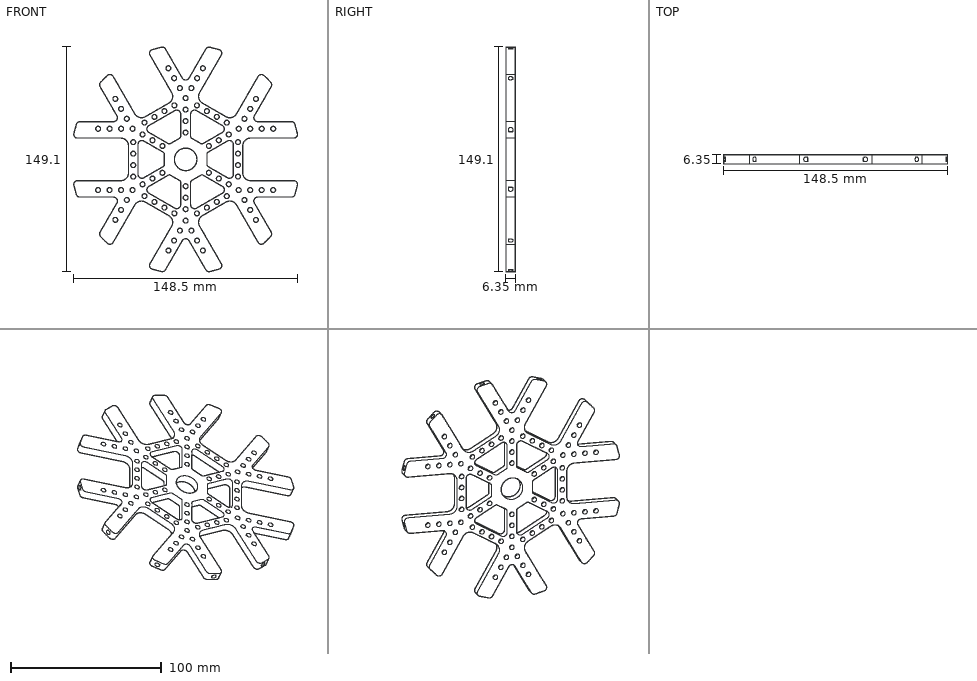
import cadquery as cq
import math

SECTORS = 6
SECTOR_ANGLE = 360 / SECTORS
HALF_SECTOR = SECTOR_ANGLE / 2
THICKNESS = 6.35

BORE_DIAMETER = 14.8
HUB_APOTHEM = 14.2
SPOKE_WIDTH = 6.75
RIM_INNER_APOTHEM = 31.55
RIM_OUTER_APOTHEM = 37.95
POCKET_CORNER_RADIUS = 2.54
HUB_CORNER_RADIUS = 1.27

ARM_LOWER_EDGE = 14.05
ARM_UPPER_EDGE = 25.08
ARM_ROOT_RADIUS = 5.08
FORK_RADIUS = 2.54
TIP_DISTANCE = 76.1
TIP_ANGLE = HALF_SECTOR / 2
TIP_CORNER_RADIUS = 2.54

HOLE_DIAMETER = 3.1
HOLE_PITCH = 7.62
NODE_RADIUS = 40.64
SPOKE_HOLES = 4
ARM_HOLES = 3
RIM_HOLES = 4
RIM_HOLE_APOTHEM = (RIM_INNER_APOTHEM + RIM_OUTER_APOTHEM) / 2
TIP_HOLE_DIAMETER = 3.1
TIP_HOLE_DEPTH = 10.0


def polar(radius, degrees):
    angle = math.radians(degrees)
    return radius * math.cos(angle), radius * math.sin(angle)


def rotated(point, degrees):
    """Turn a point about the centre of the plate."""
    x, z = point
    cos_a, sin_a = polar(1, degrees)
    return x * cos_a - z * sin_a, x * sin_a + z * cos_a


def mirrored(point, degrees):
    """Mirror a point across the line through the centre at the given angle."""
    x, z = rotated(point, -degrees)
    return rotated((x, -z), degrees)


def around(points):
    """Repeat points in every sector."""
    return [rotated(point, i * SECTOR_ANGLE) for i in range(SECTORS) for point in points]


def corner_arc(before, corner, after, radius):
    """Start, middle and end of the arc that rounds a corner between two straight edges."""
    to_before = math.atan2(before[1] - corner[1], before[0] - corner[0])
    to_after = math.atan2(after[1] - corner[1], after[0] - corner[0])
    turn = math.remainder(to_after - to_before, math.tau)
    half_angle = abs(turn) / 2
    bisector = to_before + turn / 2
    setback = radius / math.tan(half_angle)
    middle_distance = radius / math.sin(half_angle) - radius

    def step(direction, distance):
        x = corner[0] + distance * math.cos(direction)
        z = corner[1] + distance * math.sin(direction)
        return x, z

    return step(to_before, setback), step(bisector, middle_distance), step(to_after, setback)


def back_face():
    """Workplane on the +Y face, extruding towards -Y through the plate centred on Y = 0."""
    return cq.Workplane("XZ", origin=(0, THICKNESS / 2, 0))


def rounded_prism(corners):
    """Plate-thick prism on a polygon given as (point, corner radius)."""
    points = [point for point, _ in corners]
    arcs = []
    for i, (corner, radius) in enumerate(corners):
        following = points[(i + 1) % len(points)]
        arcs.append(corner_arc(points[i - 1], corner, following, radius))
    path = back_face().moveTo(*arcs[-1][-1])
    for start, middle, end in arcs:
        path = path.lineTo(*start).threePointArc(middle, end)
    return path.close().extrude(THICKNESS)


def plate_body():
    """Rim hexagon with a pair of arms at every corner, still without openings."""
    cos_tip, sin_tip = polar(1, TIP_ANGLE)

    def tip_corner(z):
        return (TIP_DISTANCE - z * sin_tip) / cos_tip, z

    arm = [
        ((RIM_OUTER_APOTHEM, ARM_LOWER_EDGE), ARM_ROOT_RADIUS),
        (tip_corner(ARM_LOWER_EDGE), TIP_CORNER_RADIUS),
        (tip_corner(ARM_UPPER_EDGE), TIP_CORNER_RADIUS),
    ]
    fork = (ARM_UPPER_EDGE / math.tan(math.radians(HALF_SECTOR)), ARM_UPPER_EDGE)
    twin_arm = [(mirrored(point, HALF_SECTOR), radius) for point, radius in reversed(arm)]
    sector = arm + [(fork, FORK_RADIUS)] + twin_arm
    outline = []
    for i in range(SECTORS):
        outline += [(rotated(point, i * SECTOR_ANGLE), radius) for point, radius in sector]
    return rounded_prism(outline)


def pocket():
    """Window between hub, rim and two spokes, centred on +X."""
    half_angle = math.radians(HALF_SECTOR)
    spoke_offset = SPOKE_WIDTH / 2 / math.cos(half_angle)

    def upper_corner(x):
        return x, x * math.tan(half_angle) - spoke_offset

    hub_corner = upper_corner(HUB_APOTHEM)
    rim_corner = upper_corner(RIM_INNER_APOTHEM)
    return rounded_prism([
        (mirrored(hub_corner, 0), HUB_CORNER_RADIUS),
        (mirrored(rim_corner, 0), POCKET_CORNER_RADIUS),
        (rim_corner, POCKET_CORNER_RADIUS),
        (hub_corner, HUB_CORNER_RADIUS),
    ])


def face_hole_points():
    """Through-hole centres along the spokes, rim and arms."""
    node = polar(NODE_RADIUS, HALF_SECTOR)
    spoke = [polar(NODE_RADIUS - i * HOLE_PITCH, HALF_SECTOR) for i in range(SPOKE_HOLES)]
    arm = [(node[0] + i * HOLE_PITCH, node[1]) for i in range(1, ARM_HOLES + 1)]
    twin_arm = [mirrored(point, HALF_SECTOR) for point in arm]
    rim = [(RIM_HOLE_APOTHEM, (i - (RIM_HOLES - 1) / 2) * HOLE_PITCH) for i in range(RIM_HOLES)]
    return around(spoke + arm + twin_arm + rim)


def through_holes(points, diameter):
    return back_face().pushPoints(points).circle(diameter / 2).extrude(THICKNESS)


def tip_hole():
    """Blind hole drilled square into an arm tip, lying along +X."""
    tip_face = cq.Workplane("YZ", origin=(TIP_DISTANCE, 0, 0))
    return tip_face.circle(TIP_HOLE_DIAMETER / 2).extrude(-TIP_HOLE_DEPTH)


def turned(body, degrees):
    """Turn a body about the plate axis from +X towards +Z."""
    return body.rotate((0, 0, 0), (0, -1, 0), degrees)


result = plate_body()
result = result.cut(through_holes([(0, 0)], BORE_DIAMETER))
result = result.cut(through_holes(face_hole_points(), HOLE_DIAMETER))
for sector_index in range(SECTORS):
    sector_start = sector_index * SECTOR_ANGLE
    result = result.cut(turned(pocket(), sector_start))
    for tip_direction in (TIP_ANGLE, SECTOR_ANGLE - TIP_ANGLE):
        result = result.cut(turned(tip_hole(), sector_start + tip_direction))